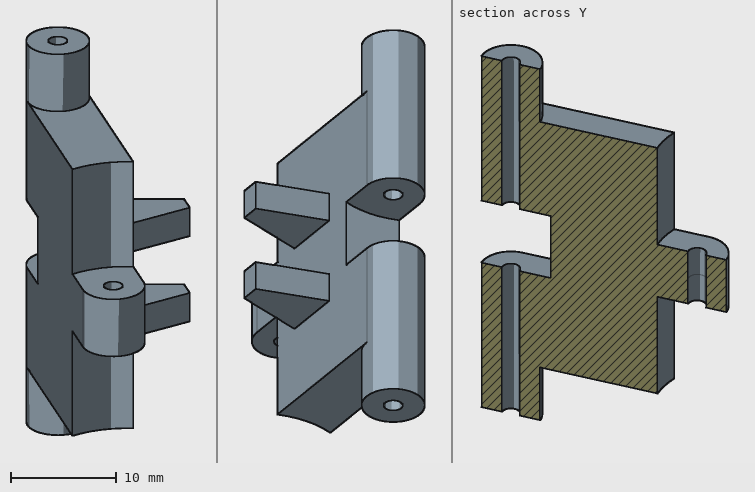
import cadquery as cq

thickness = 6.0
barrel_radius = thickness / 2
barrel_length = 40.0
pin_hole_diameter = 1.8
pin_spacing = 19.0

plate_height = 28.0
clearance = 3.5
relief_sag = 0.5
notch_height = 7.0
knuckle_height = 6.0

prong_tip_y = 10.0
prong_base_width = 6.0
prong_tip_width = 2.0
prong_thickness = 3.0
prong_center_z = 4.5

plate_end_x = pin_spacing - clearance
prong_center_x = pin_spacing / 2


def centered_extrude(sketch, height):
    """Extrude an XY outline symmetrically about the middle plane."""
    return sketch.extrude(height / 2, both=True)


def make_barrel():
    return centered_extrude(cq.Workplane("XY").circle(barrel_radius), barrel_length)


def make_plate():
    """Plate tangent to the barrel, with a concave far end."""
    outline = (
        cq.Workplane("XY")
        .moveTo(0, -barrel_radius)
        .lineTo(plate_end_x, -barrel_radius)
        .threePointArc((plate_end_x - relief_sag, 0), (plate_end_x, barrel_radius))
        .lineTo(0, barrel_radius)
        .close()
    )
    return centered_extrude(outline, plate_height)


def make_knuckle():
    """Single round-ended knuckle reaching from the plate to the second pin."""
    outline = (
        cq.Workplane("XY")
        .moveTo(prong_center_x, -barrel_radius)
        .lineTo(pin_spacing, -barrel_radius)
        .threePointArc((pin_spacing + barrel_radius, 0), (pin_spacing, barrel_radius))
        .lineTo(prong_center_x, barrel_radius)
        .close()
    )
    return centered_extrude(outline, knuckle_height)


def make_notch():
    """Gap in the barrel for a mating knuckle, with a concave floor."""
    outline = (
        cq.Workplane("XY")
        .moveTo(-barrel_radius, -barrel_radius)
        .lineTo(clearance, -barrel_radius)
        .threePointArc((clearance + relief_sag, 0), (clearance, barrel_radius))
        .lineTo(-barrel_radius, barrel_radius)
        .close()
    )
    return centered_extrude(outline, notch_height)


def make_prong(center_z):
    """Tapered prong standing on the +Y face of the plate."""
    half_base = prong_base_width / 2
    half_tip = prong_tip_width / 2
    outline = cq.Workplane("XY").polyline([
        (prong_center_x - half_base, 0),
        (prong_center_x - half_base, barrel_radius),
        (prong_center_x - half_tip, prong_tip_y),
        (prong_center_x + half_tip, prong_tip_y),
        (prong_center_x + half_base, barrel_radius),
        (prong_center_x + half_base, 0),
    ]).close()
    return centered_extrude(outline, prong_thickness).translate((0, 0, center_z))


def make_pin_holes():
    pin_centers = [(0, 0), (pin_spacing, 0)]
    circles = cq.Workplane("XY").pushPoints(pin_centers).circle(pin_hole_diameter / 2)
    return centered_extrude(circles, barrel_length)


result = make_barrel().union(make_plate()).union(make_knuckle()).cut(make_notch())
for side in (-1, 1):
    result = result.union(make_prong(side * prong_center_z))
result = result.cut(make_pin_holes())